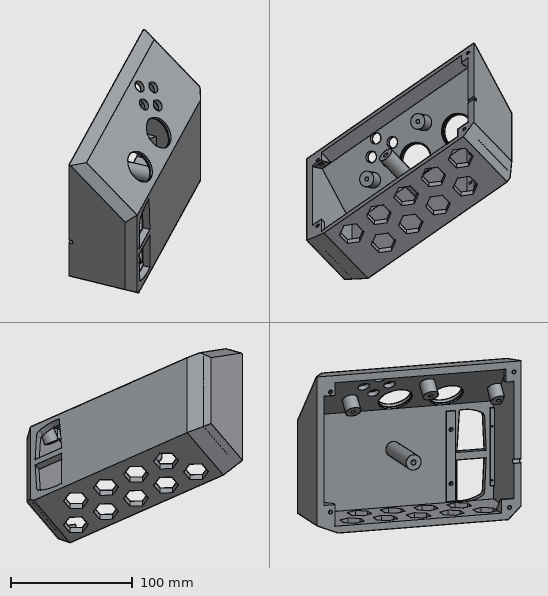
import cadquery as cq
import math

depth = 57.0
width = 177.8
height = 133.4
top_ledge = 12.6

near_bevel = 8.0
far_bevel = 18.5
far_panel_bevel = 8.5
upright_bevel = 7.6
near_foot_width = 11.2
near_foot_rise = 10.8
far_foot_rise = 7.5
panel_bevel = 7.8

side_wall = 6.2
floor_wall = 6.0
back_wall = 6.0
panel_wall = 4.3
inner_depth = depth - back_wall
inner_top = height - floor_wall
inner_far = width - side_wall

COS45 = math.sqrt(0.5)
outer_sum = top_ledge + height
inner_sum = outer_sum - panel_wall / COS45
overlap = 1.8

button_diameter = 9.6
button_ring_radius = 11.2
button_ring_y = 117.5
button_ring_z = 119.1
dial_diameter = 27.0
dial_recess_diameter = 28.8
dial_recess_depth = 1.5
dial_z = 102.2
dial_ys = (51.0, 95.5)

post_diameter = 13.0
panel_post_length = 12.5
panel_post_bore = 3.2
panel_post_roots = ((136.5, 103.5), (73.0, 114.7), (10.1, 103.5))
tall_post_y = 93.7
tall_post_z = 54.8
tall_post_bore = 4.3
bore_depth = 9.2

far_block_edge = 162.2
upper_block_bottom = 116.5
upper_near_block_edge = 13.3
lower_near_block_edge = 17.2
lower_near_block_top = 17.5
lower_far_block_top = 24.4
thin_lip = 1.8
thick_lip = 4.3
screw_diameter = 3.2
screw_places = ((166.0, 119.8), (6.2, 124.5), (166.0, 18.3), (10.1, 10.3))

vent_radius = 10.1
vent_pitch = 29.0
vent_rows = ((15.0, 26.1, 5), (38.4, 40.5, 4))

bar_z = 44.5
bar_half = 3.2
window_left = 38.2
upper_window_corner = 36.0
window_right = 12.6
window_shoulder = (14.0, 31.8)
shoulder_middle = (14.8, 33.6)
crown_start = (16.9, 35.4)
crown_middle = (26.5, 38.5)
crown_end_rise = 38.8

rail_height = 1.8
rail_top = 83.4
wide_rail_bottom = 7.1
wide_rail_right = 40.2
wide_rail_left = 47.8
narrow_rail_left = 9.5
rail_hole_zs = (22.2, 68.0)
rail_hole_depth = 4.5
rail_holes = ((44.0, 3.2), (8.0, 1.0))

notch_diameter = 3.5
notch_z = 48.9


def box(x0, x1, y0, y1, z0, z1):
    return cq.Workplane("XY").box(x1 - x0, y1 - y0, z1 - z0, centered=False).translate((x0, y0, z0))


def wedge(corner, leg_a, leg_b, travel):
    """Triangular prism with two legs leaving the corner."""
    start = cq.Vector(*corner)
    points = [start, start + cq.Vector(*leg_a), start + cq.Vector(*leg_b), start]
    wire = cq.Wire.makePolygon(points)
    return cq.Workplane(cq.Solid.extrudeLinear(wire, [], cq.Vector(*travel)))


def rod(start, direction, length, diameter):
    solid = cq.Solid.makeCylinder(diameter / 2, length, cq.Vector(*start), cq.Vector(*direction))
    return cq.Workplane(solid)


def prism_along_y(points, y0, y1):
    """Extrude an X, Z outline from y0 to y1."""
    return cq.Workplane("XZ", origin=(0, y0, 0)).polyline(points).close().extrude(y0 - y1)


def prism_along_z(points, z0, z1):
    """Extrude an X, Y outline from z0 to z1."""
    return cq.Workplane("XY", origin=(0, 0, z0)).polyline(points).close().extrude(z1 - z0)


def side_profile(x_max, z_min, z_max, panel_sum):
    return [(0, z_min), (x_max, z_min), (x_max, panel_sum - x_max), (panel_sum - z_max, z_max), (0, z_max)]


def outer_shell():
    shell = prism_along_y(side_profile(depth, 0, height, outer_sum), 0, width)
    up = (0, 0, height)
    shell = shell.cut(wedge((depth, 0, 0), (-upright_bevel, 0, 0), (0, near_bevel, 0), up))
    shell = shell.cut(wedge((depth, width, 0), (-upright_bevel, 0, 0), (0, -far_bevel, 0), up))
    across = (depth, 0, 0)
    shell = shell.cut(wedge((0, 0, 0), (0, near_foot_width, 0), (0, 0, near_foot_rise), across))
    shell = shell.cut(wedge((0, width, 0), (0, -far_bevel, 0), (0, 0, far_foot_rise), across))
    inset = panel_bevel * COS45
    for y, leg in ((0, near_bevel), (width, -far_panel_bevel)):
        above_panel = (top_ledge - depth, y, height + depth)
        shell = shell.cut(wedge(above_panel, (0, leg, 0), (-inset, 0, -inset), (2 * depth, 0, -2 * depth)))
    return shell


def cavity():
    profile = side_profile(inner_depth, floor_wall, inner_top, inner_sum)
    return prism_along_y(profile, side_wall, inner_far)


def slanted_block_outline(free_edge, wall, lip):
    """Block cross-section: a lip deep at its free edge, deepening at 45 degrees towards the wall."""
    return [(0, free_edge), (lip, free_edge), (lip + abs(wall - free_edge), wall), (0, wall)]


def add_corner_blocks(body):
    upper_far = slanted_block_outline(upper_block_bottom, inner_top, thin_lip)
    upper_near = slanted_block_outline(upper_near_block_edge, side_wall, thick_lip)
    lower_far = slanted_block_outline(far_block_edge, inner_far, thick_lip)
    lower_near = slanted_block_outline(lower_near_block_top, floor_wall, thin_lip)
    body = body.union(prism_along_y(upper_far, far_block_edge, inner_far))
    body = body.union(prism_along_z(upper_near, upper_block_bottom, inner_top))
    body = body.union(prism_along_z(lower_far, floor_wall, lower_far_block_top))
    body = body.union(prism_along_y(lower_near, side_wall, lower_near_block_edge))
    for y, z in screw_places:
        body = body.cut(rod((0, y, z), (1, 0, 0), bore_depth, screw_diameter))
    return body


def add_panel_posts(body, shell):
    """Short posts square to the panel; the one at the near wall is trimmed to the shell."""
    reach = panel_post_length * COS45
    for y, z in panel_post_roots:
        tip = (inner_sum - z - reach, y, z - reach)
        post = rod(tip, (1, 0, 1), panel_post_length + overlap, post_diameter)
        body = body.union(post.intersect(shell))
        body = body.cut(rod(tip, (1, 0, 1), bore_depth, panel_post_bore))
    return body


def add_tall_post(body):
    tip = (0, tall_post_y, tall_post_z)
    body = body.union(rod(tip, (1, 0, 0), inner_depth + overlap, post_diameter))
    return body.cut(rod(tip, (1, 0, 0), bore_depth, tall_post_bore))


def panel_hole(y, z, diameter):
    """Cutter square to the panel, centred at y, z on its outer face."""
    start = (outer_sum - z + overlap, y, z + overlap)
    return rod(start, (-1, 0, -1), panel_wall + 3 * overlap, diameter)


def cut_panel_openings(body):
    rise = button_ring_radius * COS45
    for dy, dz in ((button_ring_radius, 0), (-button_ring_radius, 0), (0, rise), (0, -rise)):
        body = body.cut(panel_hole(button_ring_y + dy, button_ring_z + dz, button_diameter))
    drop = panel_wall * COS45
    for y in dial_ys:
        body = body.cut(panel_hole(y, dial_z, dial_diameter))
        inner_centre = (outer_sum - dial_z - drop, y, dial_z - drop)
        body = body.cut(rod(inner_centre, (1, 0, 1), dial_recess_depth, dial_recess_diameter))
    return body


def cut_floor_vents(body):
    for x, first_y, count in vent_rows:
        for i in range(count):
            vent = cq.Workplane("XY").center(x, first_y + i * vent_pitch).polygon(6, 2 * vent_radius)
            body = body.cut(vent.extrude(floor_wall))
    return body


def window(side, crown_end_y):
    """Window above (side = 1) or below (side = -1) the cross bar."""
    def at(y, rise):
        return (y, bar_z + side * rise)

    return (
        cq.Workplane("YZ", origin=(inner_depth, 0, 0))
        .moveTo(*at(window_left, bar_half))
        .lineTo(*at(window_right, bar_half))
        .lineTo(*at(*window_shoulder))
        .threePointArc(at(*shoulder_middle), at(*crown_start))
        .threePointArc(at(*crown_middle), at(crown_end_y, crown_end_rise))
        .close()
        .extrude(back_wall)
    )


def add_rails(body):
    face = inner_depth - rail_height
    body = body.union(box(face, inner_depth, wide_rail_right, wide_rail_left, wide_rail_bottom, rail_top))
    body = body.union(box(face, inner_depth, side_wall, narrow_rail_left, lower_near_block_top, rail_top))
    for y, diameter in rail_holes:
        for z in rail_hole_zs:
            body = body.cut(rod((face, y, z), (1, 0, 0), rail_hole_depth, diameter))
    return body


def cable_notch():
    """Round-ended notch through the near wall, open at X = 0."""
    radius = notch_diameter / 2
    end = rod((radius, 0, notch_z), (0, 1, 0), side_wall, notch_diameter)
    return end.union(box(0, radius, 0, side_wall, notch_z - radius, notch_z + radius))


shell = outer_shell()
body = shell.cut(cavity())
body = add_rails(body)
body = add_corner_blocks(body)
body = add_panel_posts(body, shell)
body = add_tall_post(body)
body = cut_panel_openings(body)
body = cut_floor_vents(body)
body = body.cut(window(1, upper_window_corner))
body = body.cut(window(-1, window_left))
result = body.cut(cable_notch())